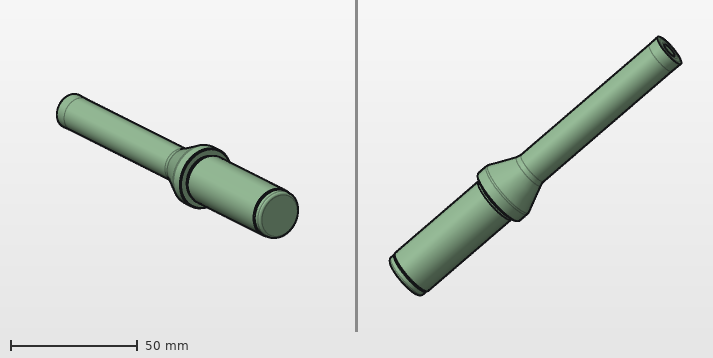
import cadquery as cq

total_length = 142.0

shank_radius = 13.9 / 2
tip_radius = 7.1
tip_length = 4.8

face_drop = 0.1
face_ring_radius = 5.8
countersink_radius = 4.3
countersink_depth = 0.1

pin_radius = 3.1
pin_flat_radius = 2.3
pin_bevel = 0.07
hole_depth = tip_length

cone_start = 74.7
cone_end = 86.9
cone_foot_fillet = 5.1
cone_top_fillet = 1.8
collar_radius = 25.0 / 2
collar_end = 92.0
collar_chamfer = 0.4

handle_radius = 20.0 / 2
undercut_radius = 9.5
undercut_end = 92.9
handle_start = 93.7
handle_end = 138.3
step_start = 139.0
step_radius = 19.5 / 2
end_round = 1.1


def revolve_about_x(profile):
    """Close a half profile and turn it about the X axis."""
    return profile.close().revolve(360, (0, 0, 0), (1, 0, 0))


def fillet_circle(body, x, fillet_radius):
    """Round the circular edge at axial position x."""
    edge = cq.selectors.NearestToPointSelector((x, 0, 0))
    circles = body.edges("%CIRCLE")
    return circles.edges(edge).fillet(fillet_radius)


def make_body():
    profile = (
        cq.Workplane("XY")
        .moveTo(hole_depth, 0)
        .lineTo(hole_depth, pin_radius)
        .lineTo(countersink_depth, pin_radius)
        .lineTo(0, countersink_radius)
        .lineTo(face_drop / 2, face_ring_radius)
        .lineTo(face_drop, tip_radius)
        .lineTo(tip_length, shank_radius)
        .lineTo(cone_start, shank_radius)
        .lineTo(cone_end, collar_radius)
        .lineTo(collar_end - collar_chamfer, collar_radius)
        .lineTo(collar_end, collar_radius - collar_chamfer)
        .lineTo(collar_end, undercut_radius)
        .lineTo(undercut_end, undercut_radius)
        .lineTo(handle_start, handle_radius)
        .lineTo(handle_end, handle_radius)
        .lineTo(step_start, step_radius)
        .lineTo(total_length, step_radius)
        .lineTo(total_length, 0)
    )
    body = revolve_about_x(profile)
    body = fillet_circle(body, cone_start, cone_foot_fillet)
    body = fillet_circle(body, cone_end, cone_top_fillet)
    return body.faces(">X").edges().fillet(end_round)


def make_pin():
    pin_start = countersink_depth - pin_bevel
    profile = (
        cq.Workplane("XY")
        .moveTo(pin_start, 0)
        .lineTo(pin_start, pin_flat_radius)
        .lineTo(countersink_depth, pin_radius)
        .lineTo(hole_depth, pin_radius)
        .lineTo(hole_depth, 0)
    )
    return revolve_about_x(profile)


shank_body = make_body()
center_pin = make_pin()

result = cq.Compound.makeCompound([shank_body.val(), center_pin.val()])